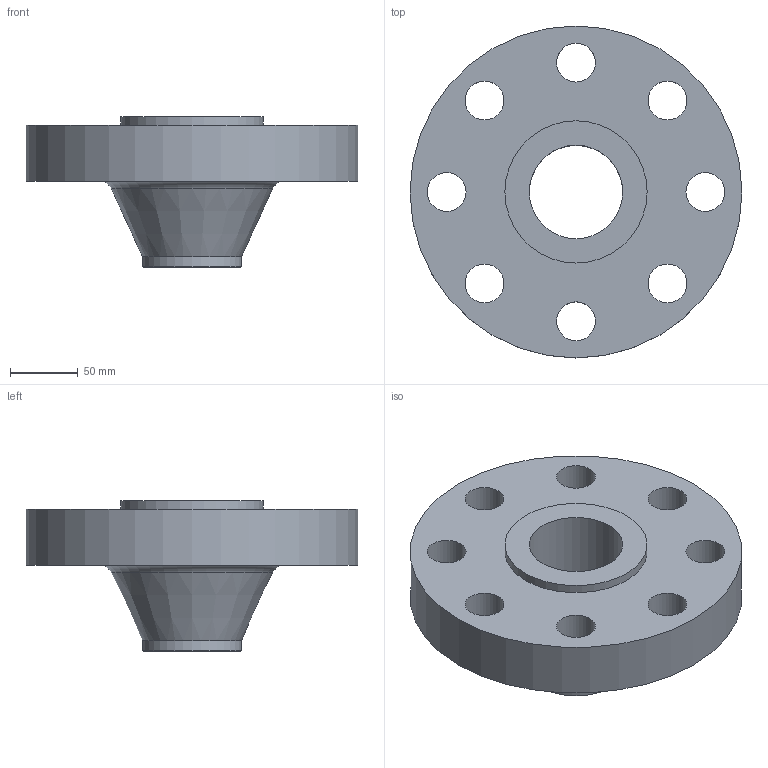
import cadquery as cq
import math

flange_diameter = 244.475
flange_thickness = 41.275
bolt_circle_diameter = 190.5
bolt_hole_diameter = 28.575
bolt_hole_count = 8

raised_face_diameter = 104.775
raised_face_height = 6.35

overall_height = 111.125
hub_base_diameter = 123.825
hub_fillet_radius = 9.0
weld_end_diameter = 73.025
weld_end_height = 8.0
bore_diameter = 68.8

bevel_width = 0.5
bevel_angle = 37.5
bevel_height = bevel_width * math.tan(math.radians(bevel_angle))

flange_top = -raised_face_height
flange_bottom = flange_top - flange_thickness
weld_end_bottom = -overall_height
weld_end_top = weld_end_bottom + weld_end_height


def make_hub_fillet_points():
    """Start, middle and end (radius, Z) of the fillet arc from the plate to the hub taper."""
    taper_run = (hub_base_diameter - weld_end_diameter) / 2
    taper_drop = flange_bottom - weld_end_top
    slope = math.atan2(taper_drop, taper_run)
    tangent_length = hub_fillet_radius * math.tan(slope / 2)
    corner_radius = hub_base_diameter / 2
    center = (corner_radius + tangent_length, flange_bottom - hub_fillet_radius)

    def arc_point(turn):
        return (
            center[0] - hub_fillet_radius * math.sin(turn),
            center[1] + hub_fillet_radius * math.cos(turn),
        )

    return arc_point(0), arc_point(slope / 2), arc_point(slope)


def make_body():
    """Revolve the solid outer shape about Z; the bore and bolt holes are cut later."""
    fillet_start, fillet_middle, fillet_end = make_hub_fillet_points()
    weld_end_radius = weld_end_diameter / 2
    profile = (
        cq.Workplane("XZ")
        .moveTo(0, 0)
        .lineTo(raised_face_diameter / 2, 0)
        .lineTo(raised_face_diameter / 2, flange_top)
        .lineTo(flange_diameter / 2, flange_top)
        .lineTo(flange_diameter / 2, flange_bottom)
        .lineTo(*fillet_start)
        .threePointArc(fillet_middle, fillet_end)
        .lineTo(weld_end_radius, weld_end_top)
        .lineTo(weld_end_radius, weld_end_bottom + bevel_height)
        .lineTo(weld_end_radius - bevel_width, weld_end_bottom)
        .lineTo(0, weld_end_bottom)
        .close()
    )
    return profile.revolve(360, (0, 0, 0), (0, 1, 0))


def make_bore():
    return cq.Workplane("XY").circle(bore_diameter / 2).extrude(-overall_height)


def make_bolt_holes():
    return (
        cq.Workplane("XY", origin=(0, 0, flange_top))
        .polarArray(bolt_circle_diameter / 2, 0, 360, bolt_hole_count)
        .circle(bolt_hole_diameter / 2)
        .extrude(-flange_thickness)
    )


result = make_body().cut(make_bore()).cut(make_bolt_holes())